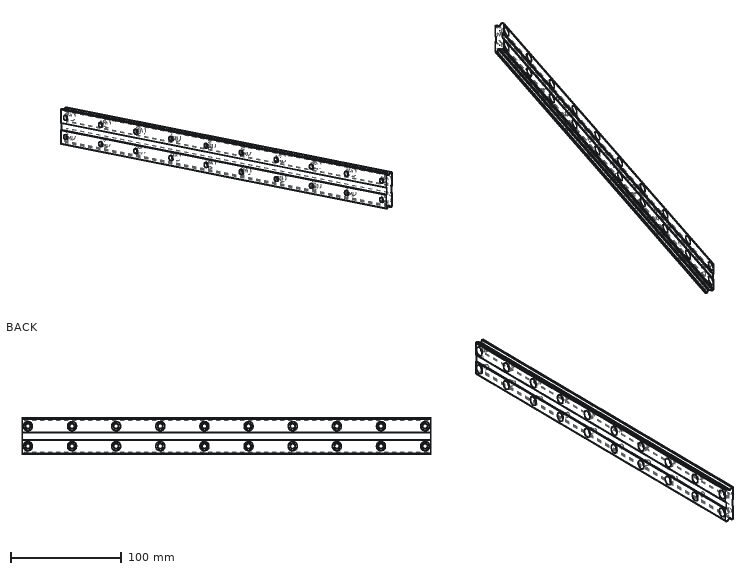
import cadquery as cq
import math

length = 370.0
thickness = 9.0
height = 33.0
front_chamfer = 0.48
back_chamfer = 1.0

waist_depth = 0.7
waist_mouth_height = 7.0
waist_floor_height = 6.3

slot_depth = 2.2
slot_front_y = -2.55
slot_back_y = 2.1
slot_front_wall_angle = 60.0
slot_back_wall_angle = 45.0
slot_back_lip_radius = 2.0

hole_diameter = 4.5
counterbore_diameter = 8.0
counterbore_depth = 4.8
holes_per_row = 10
hole_pitch = 40.0
hole_row_spacing = 18.0

front_y = -thickness / 2
back_y = thickness / 2


def extrude_along_bar(points):
    """Prism with the given (Y, Z) outline, running the full length of the bar."""
    return cq.Workplane("YZ").polyline(points).close().extrude(length / 2, both=True)


def chamfered_bar():
    bar = cq.Workplane("XY").box(length, thickness, height)
    bar = bar.edges("|X and <Y").chamfer(front_chamfer)
    return bar.edges("|X and >Y").chamfer(back_chamfer)


def waist_groove(face_y):
    floor_y = face_y - math.copysign(waist_depth, face_y)
    return extrude_along_bar([
        (face_y, -waist_mouth_height / 2),
        (floor_y, -waist_floor_height / 2),
        (floor_y, waist_floor_height / 2),
        (face_y, waist_mouth_height / 2),
    ])


def top_slot():
    mouth_z = height / 2
    floor_z = mouth_z - slot_depth
    front_run = slot_depth / math.tan(math.radians(slot_front_wall_angle))
    back_run = slot_depth / math.tan(math.radians(slot_back_wall_angle))
    return extrude_along_bar([
        (slot_front_y, mouth_z),
        (slot_front_y + front_run, floor_z),
        (slot_back_y - back_run, floor_z),
        (slot_back_y, mouth_z),
    ])


def hole_pattern(diameter, start_y, depth):
    """Cylinders at every hole position, running from start_y towards the front."""
    return (
        cq.Workplane("XZ", origin=(0, start_y, 0))
        .rarray(hole_pitch, hole_row_spacing, holes_per_row, 2)
        .circle(diameter / 2)
        .extrude(depth)
    )


def round_slot_back_lips(body):
    """Round the edges where the slot's back wall meets the top and bottom of the bar."""
    for lip_z in (-height / 2, height / 2):
        lip = cq.selectors.NearestToPointSelector((0, slot_back_y, lip_z))
        body = body.edges("|X").edges(lip).fillet(slot_back_lip_radius)
    return body


slot = top_slot()

profile = (
    chamfered_bar()
    .cut(waist_groove(front_y))
    .cut(waist_groove(back_y))
    .cut(slot)
    .cut(slot.mirror("XY"))
)

result = (
    round_slot_back_lips(profile)
    .cut(hole_pattern(hole_diameter, back_y, thickness))
    .cut(hole_pattern(counterbore_diameter, back_y, counterbore_depth))
)